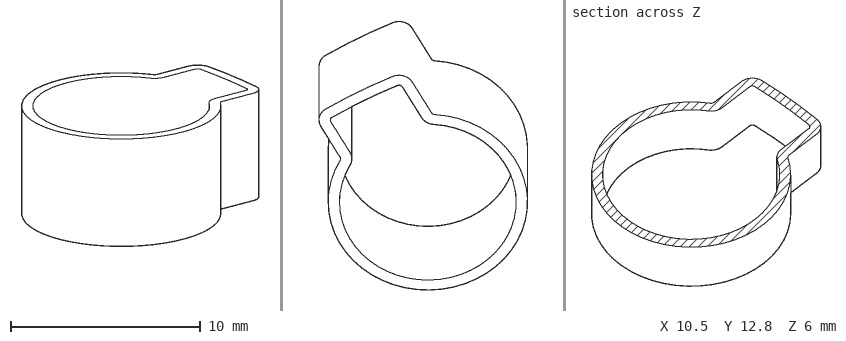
import cadquery as cq
import math

height = 6.0
wall = 0.6
ring_radius = 5.25
ear_half_width = 2.75
ear_top = 7.54
crown_radius = 30.0
corner_radius = 0.8
neck_radius = 0.2


def point_towards(start, target, distance):
    """Point at a distance from start along the direction to target."""
    length = math.dist(start, target)
    return tuple(s + (t - s) * distance / length for s, t in zip(start, target))


def mirrored(point):
    return (-point[0], point[1])


def band_body(inset):
    """Solid bounded by the outer band outline moved inwards by inset."""
    ring = ring_radius - inset
    half_width = ear_half_width - inset
    crest = ear_top - inset
    corner = corner_radius - inset
    neck = neck_radius + inset

    neck_x = ear_half_width + neck_radius
    neck_y = math.sqrt((ring_radius + neck_radius) ** 2 - neck_x ** 2)
    neck_center = (neck_x, neck_y)
    crown_center = (0, ear_top - crown_radius)
    corner_x = ear_half_width - corner_radius
    corner_y = crown_center[1] + math.sqrt((crown_radius - corner_radius) ** 2 - corner_x ** 2)
    corner_center = (corner_x, corner_y)

    ring_end = point_towards(neck_center, (0, 0), neck)
    side_start = (half_width, neck_y)
    neck_chord_mid = tuple((a + b) / 2 for a, b in zip(ring_end, side_start))
    neck_mid = point_towards(neck_center, neck_chord_mid, neck)
    side_end = (half_width, corner_y)
    crown_end = point_towards(crown_center, corner_center, crown_radius - inset)
    corner_chord_mid = tuple((a + b) / 2 for a, b in zip(side_end, crown_end))
    corner_mid = point_towards(corner_center, corner_chord_mid, corner)

    return (
        cq.Workplane("XY")
        .workplane(offset=-height / 2)
        .moveTo(*ring_end)
        .threePointArc(neck_mid, side_start)
        .lineTo(*side_end)
        .threePointArc(corner_mid, crown_end)
        .threePointArc((0, crest), mirrored(crown_end))
        .threePointArc(mirrored(corner_mid), mirrored(side_end))
        .lineTo(*mirrored(side_start))
        .threePointArc(mirrored(neck_mid), mirrored(ring_end))
        .threePointArc((0, -ring), ring_end)
        .close()
        .extrude(height)
    )


result = band_body(0).cut(band_body(wall))